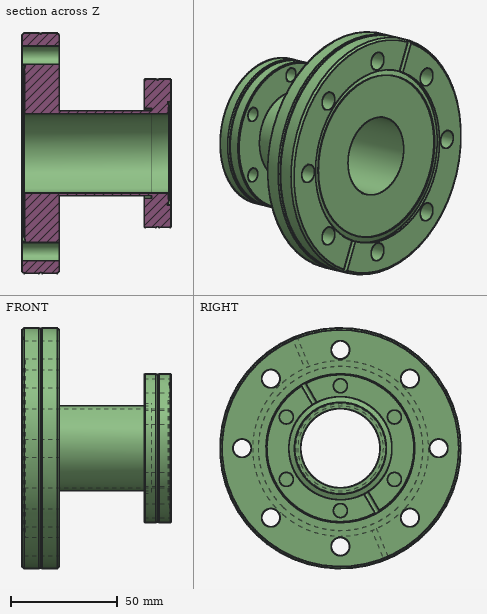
import cadquery as cq
import math

length = 70.0
bore_radius = 18.5
tube_radius = 20.0

large_radius = 56.5
large_thickness = 17.5
large_chamfer = 1.0
large_recess_radius = 41.3
large_bolt_count = 8
large_bolt_circle_radius = 46.1
large_bolt_diameter = 8.5

small_radius = 34.9
small_thickness = 12.7
small_chamfer = 0.5
small_recess_radius = 24.2
small_bolt_count = 6
small_bolt_circle_radius = 29.3
small_bolt_diameter = 6.6

clearance_radius = 21.0
clearance_depth = 3.4

rim_groove_width = 1.7
rim_groove_depth = 0.5

recess_depth = 1.6
knife_width = 2.6
knife_slope = 20
knife_back_width = 0.1
center_depth = 1.1

leak_groove_radius = 1.2
leak_groove_depth = 0.8


def flange_body(radius, thickness, chamfer, recess_radius):
    """Flange around X with its sealing face at X = 0 and its back at X = thickness."""
    middle = thickness / 2
    knife_radius = recess_radius - knife_width
    knife_depth = recess_depth - knife_width * math.tan(math.radians(knife_slope))
    profile = [
        (center_depth, bore_radius),
        (center_depth, knife_radius - knife_back_width),
        (knife_depth, knife_radius),
        (recess_depth, recess_radius),
        (0, recess_radius),
        (0, radius - chamfer),
        (chamfer, radius),
        (middle - rim_groove_width / 2, radius),
        (middle, radius - rim_groove_depth),
        (middle + rim_groove_width / 2, radius),
        (thickness - chamfer, radius),
        (thickness, radius - chamfer),
        (thickness, bore_radius),
    ]
    return cq.Workplane("XY").polyline(profile).close().revolve(360, (0, 0, 0), (1, 0, 0))


def bolt_holes(count, circle_radius, diameter, thickness):
    """Through holes on a bolt circle, the first one on the Z axis."""
    return (
        cq.Workplane("YZ")
        .polarArray(circle_radius, 90, 360, count)
        .circle(diameter / 2)
        .extrude(thickness)
    )


def leak_grooves(radius, recess_radius, bolt_count):
    """Two opposite round-bottomed grooves, midway between bolt holes."""
    groove = (
        cq.Workplane("XY")
        .workplane(offset=recess_radius - knife_width / 2)
        .center(leak_groove_depth - leak_groove_radius, 0)
        .circle(leak_groove_radius)
        .extrude(radius)
    )
    half_pitch = 180 / bolt_count
    first = groove.rotate((0, 0, 0), (1, 0, 0), half_pitch)
    second = first.rotate((0, 0, 0), (1, 0, 0), 180)
    return first.union(second)


def flange(
    radius,
    thickness,
    chamfer,
    recess_radius,
    bolt_count,
    circle_radius,
    bolt_diameter,
):
    """Complete flange with its sealing face at X = 0."""
    return (
        flange_body(radius, thickness, chamfer, recess_radius)
        .cut(bolt_holes(bolt_count, circle_radius, bolt_diameter, thickness))
        .cut(leak_grooves(radius, recess_radius, bolt_count))
    )


def ring(start, depth, outer_radius, inner_radius):
    """Plain ring around X."""
    return (
        cq.Workplane("YZ")
        .workplane(offset=start)
        .circle(outer_radius)
        .circle(inner_radius)
        .extrude(depth)
    )


large_flange = flange(
    large_radius,
    large_thickness,
    large_chamfer,
    large_recess_radius,
    large_bolt_count,
    large_bolt_circle_radius,
    large_bolt_diameter,
)

small_flange = (
    flange(
        small_radius,
        small_thickness,
        small_chamfer,
        small_recess_radius,
        small_bolt_count,
        small_bolt_circle_radius,
        small_bolt_diameter,
    )
    .mirror("YZ")
    .translate((length, 0, 0))
)
small_back = length - small_thickness
small_flange = small_flange.cut(ring(small_back, clearance_depth, clearance_radius, bore_radius))

tube_length = small_back + clearance_depth - large_thickness
tube = ring(large_thickness, tube_length, tube_radius, bore_radius)

result = large_flange.union(tube).union(small_flange)